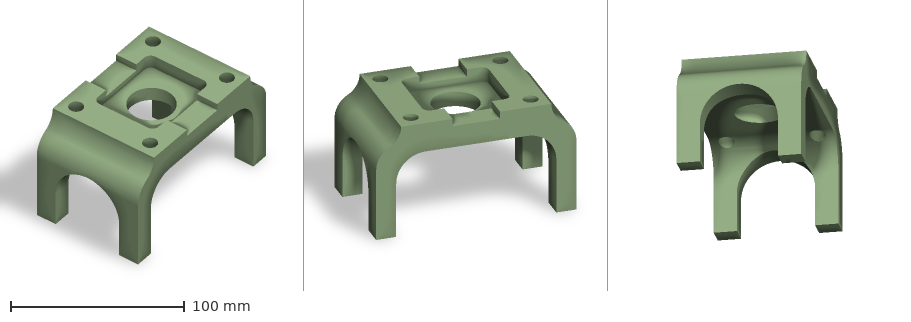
import cadquery as cq
import math

width = 73.09
length = 121.82
height = 70.05

half_length = length / 2
leg_thickness = 12.2
ceiling_height = 51.9
inner_radius = 17.8

top_half_length = 45.7
shoulder_mid_y = 52.9
shoulder_mid_z = 57.9
shoulder_foot_z = 44.5

arch_width = 45.8
arch_top = 46.3

slot_width = 28.9
slot_depth = 4.6
pocket_width = 43.8
pocket_length = 53.0
pocket_depth = 9.0
pocket_corner_radius = 4.5
bore_diameter = 29.0
bolt_diameter = 9.2
bolt_spacing_x = 53.4
bolt_spacing_y = 73.0


def upright_arc_middle(start, end):
    """Midpoint of the arc that leaves start vertically in the YZ plane and runs to end."""
    dy = end[0] - start[0]
    dz = end[1] - start[1]
    radius = (dy**2 + dz**2) / (2 * abs(dy))
    side = math.copysign(1, dy)
    rise = math.copysign(1, dz)
    half_sweep = math.asin(abs(dz) / radius) / 2
    middle_y = start[0] + side * radius * (1 - math.cos(half_sweep))
    middle_z = start[1] + rise * radius * math.sin(half_sweep)
    return middle_y, middle_z


def mirrored(point):
    return -point[0], point[1]


def make_body():
    top = (top_half_length, height)
    middle = (shoulder_mid_y, shoulder_mid_z)
    foot = (half_length, shoulder_foot_z)
    concave = upright_arc_middle(top, middle)
    convex = upright_arc_middle(foot, middle)
    return (
        cq.Workplane("YZ")
        .moveTo(-half_length, 0)
        .lineTo(half_length, 0)
        .lineTo(*foot)
        .threePointArc(convex, middle)
        .threePointArc(concave, top)
        .lineTo(*mirrored(top))
        .threePointArc(mirrored(concave), mirrored(middle))
        .threePointArc(mirrored(convex), mirrored(foot))
        .close()
        .extrude(width / 2, both=True)
    )


def make_underside_opening():
    opening_length = length - 2 * leg_thickness
    return (
        cq.Workplane("XY")
        .box(width, opening_length, ceiling_height, centered=(True, True, False))
        .edges("|X and >Z")
        .fillet(inner_radius)
    )


def make_end_arches():
    radius = arch_width / 2
    spring_height = arch_top - radius
    return (
        cq.Workplane("XZ")
        .moveTo(-radius, 0)
        .lineTo(-radius, spring_height)
        .threePointArc((0, arch_top), (radius, spring_height))
        .lineTo(radius, 0)
        .close()
        .extrude(half_length, both=True)
    )


def make_cross_slot():
    return (
        cq.Workplane("XY")
        .workplane(offset=height - slot_depth)
        .rect(width, slot_width)
        .extrude(slot_depth)
    )


def make_pocket():
    return (
        cq.Workplane("XY")
        .workplane(offset=height - pocket_depth)
        .rect(pocket_width, pocket_length)
        .extrude(pocket_depth)
        .edges("|Z")
        .fillet(pocket_corner_radius)
    )


def make_bore():
    return cq.Workplane("XY").circle(bore_diameter / 2).extrude(height)


def make_bolt_holes():
    return (
        cq.Workplane("XY")
        .rect(bolt_spacing_x, bolt_spacing_y, forConstruction=True)
        .vertices()
        .circle(bolt_diameter / 2)
        .extrude(height)
    )


result = (
    make_body()
    .cut(make_underside_opening())
    .cut(make_end_arches())
    .cut(make_cross_slot())
    .cut(make_pocket())
    .cut(make_bore())
    .cut(make_bolt_holes())
)